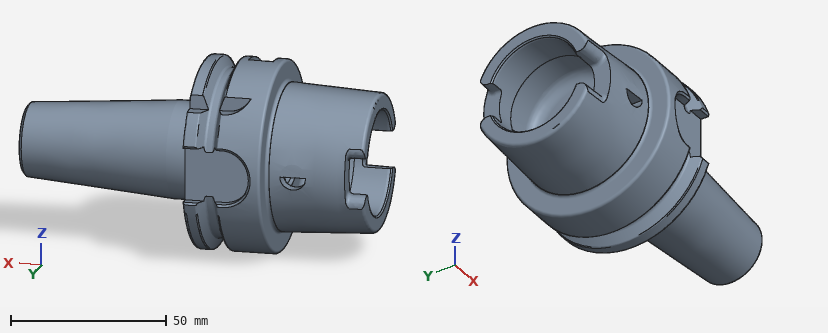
import cadquery as cq
import math


shank_length = 32.0
gauge_diameter = 48.0
gauge_offset = 6.3
taper_ratio = 9.98
shank_edge_round = 1.2
relief_diameter = 48.24
relief_width = 1.2
relief_fillet = 1.1

flange_diameter = 63.0
flange_width = 26.0
flange_edge_round = 1.0
groove_center = 18.05
groove_bottom_diameter = 55.0
groove_bottom_half_width = 1.5
groove_flank_angle = 27.0
groove_corner_round = 0.9
groove_edge_round = 0.5

total_length = 117.0
neck_diameter = 32.0
neck_end = 35.0
neck_fillet = 3.0
nose_half_angle = 4.5
nose_edge_chamfer = 1.0
nose_overlap = 1.0

mouth_chamfer = 0.5
lead_in_step = 0.2
lead_in_end = 1.3
mouth_diameter = 34.0
undercut_diameter = 40.0
undercut_start = 12.7
undercut_end = 25.5
floor_diameter = 32.0
thread_mouth_diameter = 19.0
thread_core_diameter = 17.0
thread_depth = 12.0
screw_mouth_diameter = 10.0
screw_core_diameter = 8.4
screw_depth = 8.0
through_diameter = 6.92

slot_width = 12.54
front_slot_depth = 10.0
rear_slot_depth = 6.0
slot_corner_round = 1.2
slot_edge_round = 2.9
slot_edge_overshoot = 0.05
slot_inner_y = 8.0

keyway_radius = 9.0
keyway_center = 13.0
keyway_floor = 26.5
keyway_chamfer = 0.8
keyway_rim_height = 2.5
flat_start = 3.5
flat_length = 8.2
flat_first_angle = 90.0
flat_last_angle = 133.0
notch_wall = 20.0
notch_floor = 19.7
notch_radius = 8.6
notch_center = 13.4
hole_diameter = 8.4
hole_center = -9.0

shank_end = -shank_length
nose_end = total_length - shank_length
flange_radius = flange_diameter / 2
reach = flange_diameter
clearance = 1.0
margin = 0.1


def taper_radius(x):
    """Radius of the shank taper at axial position x."""
    return (gauge_diameter + (x + gauge_offset) / taper_ratio) / 2


def turned(points):
    """Solid of revolution about X from (x, radius) points closed along the axis."""
    outline = [(points[0][0], 0)] + points + [(points[-1][0], 0)]
    return cq.Workplane("XZ").polyline(outline).close().revolve(360, (0, 0), (1, 0))


def make_shank():
    """Taper with a rounded end, a short relief and a fillet onto the flange face."""
    relief_radius = relief_diameter / 2
    shank = (
        cq.Workplane("XZ")
        .moveTo(shank_end, 0)
        .lineTo(shank_end, taper_radius(shank_end))
        .lineTo(-relief_width, taper_radius(-relief_width))
        .lineTo(-relief_width, relief_radius)
        .lineTo(-relief_fillet, relief_radius)
        .radiusArc((0, relief_radius + relief_fillet), -relief_fillet)
        .lineTo(0, 0)
        .close()
        .revolve(360, (0, 0), (1, 0))
    )
    return shank.faces("<X").edges().fillet(shank_edge_round)


def keyway_cutter(side):
    """Round-ended keyway open to +X; side is +1 for +Y and -1 for -Y."""
    length = flange_width - keyway_center
    straight = cq.Workplane("XY").box(
        length, flange_radius, 2 * keyway_radius, centered=(False, False, True)
    ).translate((keyway_center, keyway_floor, 0))
    round_end = (
        cq.Workplane("XZ", origin=(keyway_center, keyway_floor, 0))
        .circle(keyway_radius)
        .extrude(-flange_radius)
    )
    cutter = straight.union(round_end)
    return cutter if side > 0 else cutter.mirror("XZ")


def chip_flat_cutter():
    """Block that leaves a flat between two angles around the flange."""
    half_span = math.radians(flat_last_angle - flat_first_angle) / 2
    distance = flange_radius * math.cos(half_span)
    block = cq.Workplane("XY").box(
        flat_length, flange_radius, flange_radius, centered=(False, False, True)
    )
    return block.translate((flat_start, distance, 0)).rotate(
        (0, 0, 0), (1, 0, 0), (flat_first_angle + flat_last_angle) / 2
    )


def notch_cutter():
    """Corner notch at +Y +Z with a floor that curves up toward the flange face."""
    axis_height = notch_floor + notch_radius
    round_end = cq.Workplane("XZ", origin=(notch_center, notch_wall, axis_height)).circle(notch_radius)
    straight = cq.Workplane("XY").box(
        reach, reach, 2 * notch_radius, centered=(False, False, True)
    ).translate((notch_center, notch_wall, axis_height))
    return straight.union(round_end.extrude(-reach))


def groove_cutter():
    """Ring that cuts the V groove, with rounded bottom corners and rounded outer edges."""
    bottom = groove_bottom_diameter / 2
    flank = math.radians(groove_flank_angle)
    rim_half_width = groove_bottom_half_width + (flange_radius - bottom) * math.tan(flank)
    tangent = groove_edge_round * math.tan((math.pi / 2 - flank) / 2)
    arc_half_width = rim_half_width - tangent * math.sin(flank)
    arc_radius = flange_radius - tangent * math.cos(flank)
    outer_half_width = rim_half_width + tangent
    clearance_radius = flange_radius + clearance
    ring = (
        cq.Workplane("XY")
        .moveTo(groove_center - groove_bottom_half_width, bottom)
        .lineTo(groove_center - arc_half_width, arc_radius)
        .radiusArc((groove_center - outer_half_width, flange_radius), -groove_edge_round)
        .lineTo(groove_center - outer_half_width, clearance_radius)
        .lineTo(groove_center + outer_half_width, clearance_radius)
        .lineTo(groove_center + outer_half_width, flange_radius)
        .radiusArc((groove_center + arc_half_width, arc_radius), -groove_edge_round)
        .lineTo(groove_center + groove_bottom_half_width, bottom)
        .close()
        .revolve(360, (0, 0), (1, 0))
    )
    limit = bottom + margin
    bottom_zone = cq.selectors.BoxSelector(
        (0, -limit, -limit), (flange_width, limit, limit), boundingbox=True
    )
    return ring.edges(bottom_zone).edges("%CIRCLE").fillet(groove_corner_round)


def edge_round_cutter(x, inward):
    """Ring that rounds the flange rim at x; inward is the X direction into the flange."""
    r = flange_edge_round
    outside_x = x - inward * clearance
    return (
        cq.Workplane("XY")
        .moveTo(x, flange_radius - r)
        .radiusArc((x + inward * r, flange_radius), inward * r)
        .lineTo(x + inward * r, flange_radius + clearance)
        .lineTo(outside_x, flange_radius + clearance)
        .lineTo(outside_x, flange_radius - r)
        .close()
        .revolve(360, (0, 0), (1, 0))
    )


def make_flange():
    """Flange disc with two chamfered keyways, chip flat, notch, V groove and rounded rims."""
    flange = cq.Workplane("YZ").circle(flange_radius).extrude(flange_width)
    for side in (1, -1):
        flange = flange.cut(keyway_cutter(side))
    rim_half_height = keyway_radius + clearance
    for side in (1, -1):
        inner_y, outer_y = sorted((side * (keyway_floor + keyway_rim_height), side * reach))
        rim_zone = cq.selectors.BoxSelector(
            (margin, inner_y, -rim_half_height),
            (flange_width - margin, outer_y, rim_half_height),
        )
        flange = flange.edges(rim_zone).chamfer(keyway_chamfer)
    flange = flange.cut(chip_flat_cutter()).cut(notch_cutter()).cut(groove_cutter())
    return flange.cut(edge_round_cutter(0, 1)).cut(edge_round_cutter(flange_width, -1))


def make_nose():
    """Filleted cylindrical neck followed by the slim cone with a chamfered tip."""
    neck_radius = neck_diameter / 2
    cone_length = nose_end - neck_end
    tip_radius = neck_radius - cone_length * math.tan(math.radians(nose_half_angle))
    nose_start = flange_width - nose_overlap
    nose = (
        cq.Workplane("XY")
        .moveTo(nose_start, 0)
        .lineTo(nose_start, neck_radius + neck_fillet)
        .lineTo(flange_width, neck_radius + neck_fillet)
        .radiusArc((flange_width + neck_fillet, neck_radius), -neck_fillet)
        .lineTo(neck_end, neck_radius)
        .lineTo(nose_end, tip_radius)
        .lineTo(nose_end, 0)
        .close()
        .revolve(360, (0, 0), (1, 0))
    )
    return nose.faces(">X").edges().chamfer(nose_edge_chamfer)


def make_bore():
    """All coaxial hollows, from the shank mouth to the through hole."""
    mouth = mouth_diameter / 2
    lead_in = mouth + lead_in_step
    undercut = undercut_diameter / 2
    floor_radius = floor_diameter / 2
    floor_fillet = undercut - floor_radius
    floor = shank_end + undercut_end + floor_fillet
    pocket = (
        cq.Workplane("XZ")
        .moveTo(shank_end, 0)
        .lineTo(shank_end, lead_in + mouth_chamfer)
        .lineTo(shank_end + mouth_chamfer, lead_in)
        .lineTo(shank_end + lead_in_end, mouth)
        .lineTo(shank_end + undercut_start, mouth)
        .lineTo(shank_end + undercut_start, undercut)
        .lineTo(shank_end + undercut_end, undercut)
        .radiusArc((floor, floor_radius), floor_fillet)
        .lineTo(floor, 0)
        .close()
        .revolve(360, (0, 0), (1, 0))
    )

    thread_step = (thread_mouth_diameter - thread_core_diameter) / 2
    thread_end = floor + thread_depth
    screw_step = (screw_mouth_diameter - screw_core_diameter) / 2
    screw_end = thread_end + screw_depth
    stepped_hole = turned([
        (floor, thread_mouth_diameter / 2),
        (floor + thread_step, thread_core_diameter / 2),
        (thread_end, thread_core_diameter / 2),
        (thread_end, screw_mouth_diameter / 2),
        (thread_end + screw_step, screw_core_diameter / 2),
        (screw_end, screw_core_diameter / 2),
        (screw_end, through_diameter / 2),
        (nose_end, through_diameter / 2),
    ])
    return pocket.union(stepped_hole)


def slot_section(workplane, x, side):
    """Slot outline in the YZ plane at x; its walls flare out in arcs to meet the taper."""
    half_width = slot_width / 2
    arc_z = half_width + slot_edge_round
    limit_radius = taper_radius(x) + slot_edge_overshoot
    arc_y = math.sqrt((limit_radius - slot_edge_round) ** 2 - arc_z ** 2)
    end_angle = math.atan2(arc_z, arc_y)
    middle_angle = (end_angle - math.pi / 2) / 2

    def point(y, z):
        return (side * y, z)

    def arc_point(angle, sign):
        y = arc_y + slot_edge_round * math.cos(angle)
        z = arc_z + slot_edge_round * math.sin(angle)
        return point(y, sign * z)

    outer_z = flange_radius * math.sin(end_angle)
    outer_y = flange_radius * math.cos(end_angle)
    return (
        workplane
        .moveTo(*point(slot_inner_y, -half_width))
        .lineTo(*point(arc_y, -half_width))
        .threePointArc(arc_point(middle_angle, -1), arc_point(end_angle, -1))
        .lineTo(*point(outer_y, -outer_z))
        .lineTo(*point(outer_y, outer_z))
        .lineTo(*arc_point(end_angle, 1))
        .threePointArc(arc_point(middle_angle, 1), point(arc_y, half_width))
        .lineTo(*point(slot_inner_y, half_width))
        .close()
    )


def slot_cutter(side, depth):
    """Driving slot in the shank end; side is -1 for -Y and +1 for +Y."""
    mouth = slot_section(cq.Workplane("YZ", origin=(shank_end, 0, 0)), shank_end, side)
    cutter = slot_section(mouth.workplane(offset=depth), shank_end + depth, side).loft(ruled=True)
    inner_edge = "<Y" if side > 0 else ">Y"
    return cutter.faces(">X").edges(f"not {inner_edge}").fillet(slot_corner_round)


def hole_cutter():
    """Radial hole through both shank walls along Y."""
    hole = cq.Workplane("XZ", origin=(hole_center, 0, 0)).circle(hole_diameter / 2)
    return hole.extrude(reach / 2, both=True)


def upper_half():
    """Block that covers everything above the plane Z = 0."""
    return cq.Workplane("XY").box(4 * reach, 4 * reach, reach, centered=(True, True, False))


bore = make_bore()
shank = make_shank()
for side, depth in ((-1, front_slot_depth), (1, rear_slot_depth)):
    shank = shank.cut(slot_cutter(side, depth))
body = shank.union(make_flange()).union(make_nose()).cut(bore)

hole = hole_cutter()
plug = body.intersect(hole.intersect(upper_half()))
result = body.cut(hole).union(plug, clean=False)